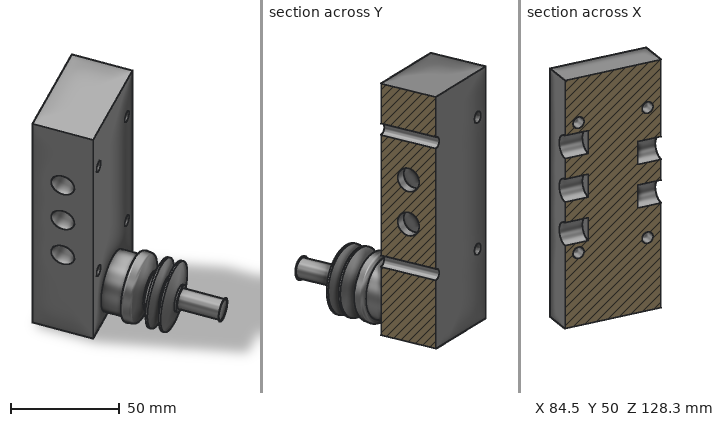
import cadquery as cq

BODY_DEPTH = 30.0
BODY_WIDTH = 50.0
BODY_HEIGHT = 126.0
TOTAL_LENGTH = 84.5

PORT_DIAMETER = 11.4
PORT_DEPTH = 12.0
PORT_PITCH = 22.1
PORT_CENTRE_Z = 70.0
MOUNT_DIAMETER = 5.5
MOUNT_SPACING_Y = 35.9
MOUNT_SPACING_Z = 66.0

SPIGOT_RADIUS = BODY_DEPTH / 2
SPIGOT_LENGTH = 10.0
AXIS_Z = SPIGOT_RADIUS
ROD_RADIUS = 10.0 / 2
ROD_TIP_RADIUS = 11.4 / 2
ROD_TIP_THICKNESS = 0.1

COLLAR_RADIUS = 17.3
COLLAR_EDGE = 1.7
COLLAR_SHOULDER_X = 44.6
COLLAR_SHOULDER_RADIUS = 16.9
COLLAR_CONE_X = 45.7
COLLAR_CONE_RADIUS = 16.3
FOLD_RADIUS = 34.0 / 2
VALLEY_RADIUS = 19.0 / 2
CUFF_RADIUS = 13.0 / 2
FOLD_TIP_WIDTH = 1.0
VALLEY_WIDTH = 0.8
CUFF_LENGTH = 1.0
VALLEY_1_X = 49.0
FOLD_1_X = 53.2
VALLEY_2_X = 56.7
FOLD_2_X = 59.8
CUFF_END_X = 63.9


def make_body():
    return cq.Workplane("XY").box(
        BODY_DEPTH, BODY_WIDTH, BODY_HEIGHT, centered=(False, True, False)
    )


def make_mounting_holes():
    """Four holes through the block along X."""
    return (
        cq.Workplane("YZ")
        .center(0, PORT_CENTRE_Z)
        .rect(MOUNT_SPACING_Y, MOUNT_SPACING_Z, forConstruction=True)
        .vertices()
        .circle(MOUNT_DIAMETER / 2)
        .extrude(BODY_DEPTH)
    )


def make_ports(side, count):
    """A column of blind ports in the -Y (side = -1) or +Y (side = 1) face."""
    ports = cq.Workplane("XY")
    for index in range(count):
        z = PORT_CENTRE_Z + (index - (count - 1) / 2) * PORT_PITCH
        mouth = cq.Vector(BODY_DEPTH / 2, side * BODY_WIDTH / 2, z)
        inward = cq.Vector(0, -side, 0)
        ports = ports.add(cq.Solid.makeCylinder(PORT_DIAMETER / 2, PORT_DEPTH, mouth, inward))
    return ports.combine()


def make_actuator():
    """Spigot, bellows and push rod as one profile of (X, radius) points."""
    collar_x = BODY_DEPTH + SPIGOT_LENGTH
    edge_mid = COLLAR_EDGE * (1 - 0.5 ** 0.5)
    profile = (
        cq.Workplane("XY")
        .moveTo(BODY_DEPTH, 0)
        .lineTo(BODY_DEPTH, SPIGOT_RADIUS)
        .lineTo(collar_x, SPIGOT_RADIUS)
        .lineTo(collar_x, COLLAR_RADIUS - COLLAR_EDGE)
        .threePointArc(
            (collar_x + edge_mid, COLLAR_RADIUS - edge_mid),
            (collar_x + COLLAR_EDGE, COLLAR_RADIUS),
        )
        .lineTo(COLLAR_SHOULDER_X, COLLAR_SHOULDER_RADIUS)
        .tangentArcPoint((COLLAR_CONE_X, COLLAR_CONE_RADIUS), relative=False)
    )
    folds = (
        (VALLEY_1_X, VALLEY_RADIUS, VALLEY_WIDTH),
        (FOLD_1_X, FOLD_RADIUS, FOLD_TIP_WIDTH),
        (VALLEY_2_X, VALLEY_RADIUS, VALLEY_WIDTH),
        (FOLD_2_X, FOLD_RADIUS, FOLD_TIP_WIDTH),
    )
    for x, radius, width in folds:
        profile = profile.lineTo(x - width / 2, radius).lineTo(x + width / 2, radius)
    profile = (
        profile.lineTo(CUFF_END_X - CUFF_LENGTH, CUFF_RADIUS)
        .lineTo(CUFF_END_X, CUFF_RADIUS)
        .lineTo(CUFF_END_X, ROD_RADIUS)
        .lineTo(TOTAL_LENGTH - ROD_TIP_THICKNESS, ROD_RADIUS)
        .lineTo(TOTAL_LENGTH - ROD_TIP_THICKNESS, ROD_TIP_RADIUS)
        .lineTo(TOTAL_LENGTH, ROD_TIP_RADIUS)
        .lineTo(TOTAL_LENGTH, 0)
        .close()
    )
    return profile.revolve(360, (0, 0, 0), (1, 0, 0)).translate((0, 0, AXIS_Z))


result = (
    make_body()
    .cut(make_mounting_holes())
    .cut(make_ports(side=-1, count=3))
    .cut(make_ports(side=1, count=2))
    .union(make_actuator())
)